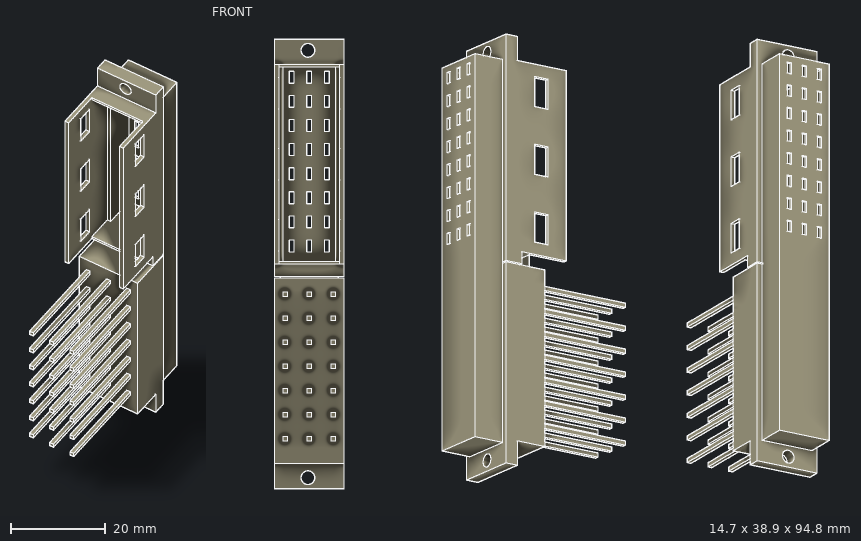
import cadquery as cq

width = 14.7
height = 94.8
depth = 38.9

flange_thickness = 2.9
screw_hole_diameter = 2.8
screw_hole_offset = 45.0
screw_hole_x = -0.3

shell_width = 12.2
shell_top = 42.1
shell_bottom = -42.5
shell_depth = 7.1
shell_wall = 0.6

shroud_bottom = 0.0
shroud_top = shell_top
cheek_thickness = 0.95
cheek_reach = 15.4
end_wall_thickness = 0.6
end_wall_reach = 6.5
cavity_shelf_y = -0.6
cavity_width = width - 2 * cheek_thickness
cavity_bottom = shroud_bottom + end_wall_thickness
cavity_top = shroud_top - end_wall_thickness

window_count = 3
window_height = 6.6
window_length = 3.4
window_pitch = 15.0
window_y = -9.1

ledge_reach = 4.1
ledge_bottom = -2.7
gap = 0.3

block_reach = 9.95
block_top = ledge_bottom - gap
block_bottom = -42.0

column_count = 3
slot_rows = 8
slot_grid_height = 35.5
row_pitch = slot_grid_height / (slot_rows - 1)
slot_column_pitch = 3.7
slot_width = 0.95
slot_height = 2.5
pin_rows = 7
top_pin_z = -6.35
top_slot_z = top_pin_z + (slot_rows + 1) * row_pitch
pin_size = 0.95
pin_reach = depth - shell_depth


def box(x_size, y_front, y_back, z_bottom, z_top, x_center=0.0):
    """Box centred on x_center that spans the given Y and Z limits."""
    return (
        cq.Workplane("XY")
        .box(x_size, y_back - y_front, z_top - z_bottom, centered=(True, False, False))
        .translate((x_center, y_front, z_bottom))
    )


def contact_positions(rows, top_z, column_pitch):
    """X and Z centres of a grid of contacts, counted down from its top row."""
    middle_column = (column_count - 1) / 2
    return [
        ((column - middle_column) * column_pitch, top_z - row * row_pitch)
        for row in range(rows)
        for column in range(column_count)
    ]


def make_body():
    """Flange, shell, shroud, ledge and pin block before the openings are cut."""
    flange = box(width, -flange_thickness, 0, -height / 2, height / 2)
    shell = box(shell_width, 0, shell_depth, shell_bottom, shell_top)
    end_walls = box(width, -end_wall_reach, 0, shroud_bottom, shroud_top)
    ledge = box(width, -ledge_reach, 0, ledge_bottom, shroud_bottom)
    block = box(width, -block_reach, 0, block_bottom, block_top)
    body = flange.union(shell).union(end_walls).union(ledge).union(block)
    cheek_x = (width - cheek_thickness) / 2
    for x in (-cheek_x, cheek_x):
        body = body.union(box(cheek_thickness, -cheek_reach, 0, shroud_bottom, shroud_top, x))
    return body


def cut_cavity(body):
    """Hollow the shroud to a shelf in the flange, then the narrower shell down to a thin floor."""
    shroud_cavity = box(cavity_width, -cheek_reach, cavity_shelf_y, cavity_bottom, cavity_top)
    shell_cavity = box(
        shell_width - 2 * shell_wall, cavity_shelf_y, shell_depth - shell_wall, cavity_bottom, cavity_top
    )
    return body.cut(shroud_cavity).cut(shell_cavity)


def cut_gap(body):
    """Part the ledge from the pin block through the full flange thickness."""
    return body.cut(box(width, -ledge_reach, 0, block_top, ledge_bottom))


def cut_windows(body):
    middle_z = (shroud_bottom + shroud_top) / 2
    for index in range(window_count):
        z = middle_z + (index - (window_count - 1) / 2) * window_pitch
        body = body.cut(
            box(
                width,
                window_y - window_length / 2,
                window_y + window_length / 2,
                z - window_height / 2,
                z + window_height / 2,
            )
        )
    return body


def cut_slots(body):
    """Contact slots through the shell floor."""
    for x, z in contact_positions(slot_rows, top_slot_z, slot_column_pitch):
        body = body.cut(box(slot_width, 0, shell_depth, z - slot_height / 2, z + slot_height / 2, x))
    return body


def cut_screw_holes(body):
    holes = (
        cq.Workplane("XZ")
        .pushPoints([(screw_hole_x, screw_hole_offset), (screw_hole_x, -screw_hole_offset)])
        .circle(screw_hole_diameter / 2)
        .extrude(flange_thickness)
    )
    return body.cut(holes)


def add_pins(body):
    for x, z in contact_positions(pin_rows, top_pin_z, row_pitch):
        body = body.union(
            box(pin_size, -pin_reach, -block_reach, z - pin_size / 2, z + pin_size / 2, x)
        )
    return body


result = make_body()
result = cut_cavity(result)
result = cut_gap(result)
result = cut_windows(result)
result = cut_slots(result)
result = cut_screw_holes(result)
result = add_pins(result)